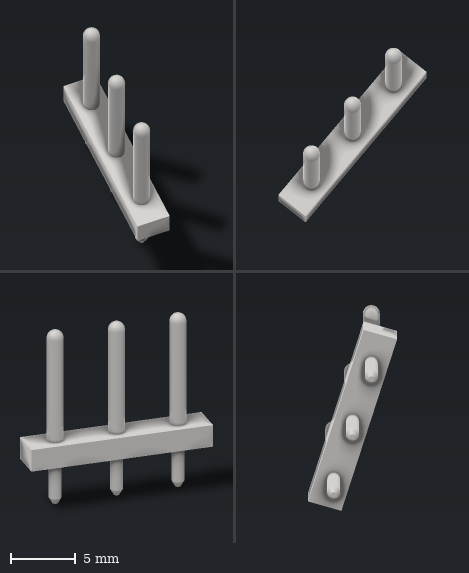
import cadquery as cq

bar_length = 14.8
bar_width = 2.7
bar_height = 1.8

pin_count = 3
pin_pitch = 5.0

contact_diameter = 1.3
contact_length = 9.2

tail_diameter = 1.0
tail_length = 3.5
tail_tip_diameter = 0.43
tail_tip_height = 0.5


def make_pin():
    """One pin revolved about Z, with the bar underside at Z = 0."""
    contact_radius = contact_diameter / 2
    tail_radius = tail_diameter / 2
    shoulder_z = bar_height / 2
    top_z = bar_height + contact_length
    dome_base_z = top_z - contact_radius
    dome_mid = contact_radius * 0.5 ** 0.5
    profile = (
        cq.Workplane("XZ")
        .moveTo(0, -tail_length)
        .lineTo(tail_tip_diameter / 2, -tail_length)
        .lineTo(tail_radius, -tail_length + tail_tip_height)
        .lineTo(tail_radius, shoulder_z)
        .lineTo(contact_radius, shoulder_z)
        .lineTo(contact_radius, dome_base_z)
        .threePointArc((dome_mid, dome_base_z + dome_mid), (0, top_z))
        .close()
    )
    return profile.revolve(360, (0, 0, 0), (0, 1, 0))


result = cq.Workplane("XY").box(bar_length, bar_width, bar_height, centered=(True, True, False))

pin = make_pin()
for index in range(pin_count):
    pin_x = (index - (pin_count - 1) / 2) * pin_pitch
    result = result.union(pin.translate((pin_x, 0, 0)))